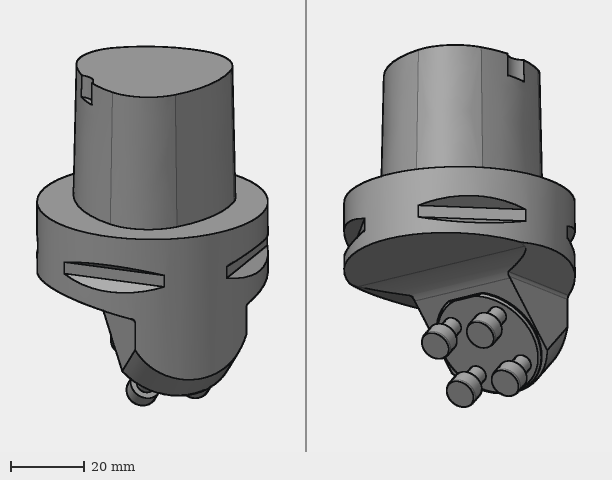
import cadquery as cq
import math

flange_radius = 31.5
body_depth = 54.95

shank_height = 37.9
lobe_reach = 23.35
flank_reach = 20.4
lobe_radius = 14.65
shank_taper = 0.8
notch_radius = 4.9
notch_center_y = -22.9
notch_depth = 6.2

rim_depth = 18.5
underside_tilt = 4.4
seat_offset = 23.35
seat_fillet = 14.65
end_offset = 72.7
arm_half_width = 16.5
arm_top_depth = 23.4
gable_rim_depth = 19.6
gable_fillet = 0.9
arm_corner_radius = 18.8
corner_cut_depth = 13.7

pattern_along = 35.35
disc_radius = 15.8
disc_thickness = 1.1
disc_chamfer = 0.6
disc_flat = 14.7
screw_pitch = 15.6
shank_diameter = 5.0
head_diameter = 8.5
head_length = 4.85
head_chamfer_width = 0.2
head_chamfer_height = 0.6
screw_reach = 12.2

slot_floor_distance = 27.8
slot_mid_depth = 12.1
slot_floor_width = 3.3
slot_mouth_width = 7.7

ROOT2 = math.sqrt(2)
seat = cq.Plane(
    origin=(pattern_along / ROOT2 - seat_offset / 2, 0, -pattern_along / ROOT2 - seat_offset / 2),
    xDir=(1, 0, -1),
    normal=(-1, 0, -1),
)


def polar(radius, degrees):
    angle = math.radians(degrees)
    return (radius * math.cos(angle), radius * math.sin(angle))


def shank_outline(offset, height):
    """Closed outline of three lobe arcs joined by tangent flank arcs."""
    lobe_center = lobe_reach - lobe_radius
    gap = flank_reach - lobe_center / 2
    flank_radius = (lobe_radius**2 - 0.75 * lobe_center**2 - gap**2) / (2 * (lobe_radius - gap))
    flank_center = flank_radius - flank_reach
    half_flank = math.degrees(math.asin(lobe_center * math.sin(math.pi / 3) / (flank_radius - lobe_radius)))
    arc_radius = flank_radius - offset

    def seam(flank_angle, side):
        center = polar(flank_center, flank_angle + 180)
        rim = polar(arc_radius, flank_angle + side * half_flank)
        return (center[0] + rim[0], center[1] + rim[1])

    outline = cq.Workplane("XY", origin=(0, 0, height)).moveTo(*seam(-90, -1))
    for flank_angle in (-90, 30, 150):
        outline = outline.threePointArc(polar(flank_reach - offset, flank_angle), seam(flank_angle, 1))
        crest = polar(lobe_reach - offset, flank_angle + 60)
        outline = outline.threePointArc(crest, seam(flank_angle + 120, -1))
    return outline.close().val()


def make_shank():
    base = shank_outline(0, 0)
    top = shank_outline(shank_taper, shank_height)
    shank = cq.Workplane(cq.Solid.makeLoft([base, top], True))
    notch = (
        cq.Workplane("XY", origin=(0, notch_center_y, shank_height))
        .circle(notch_radius)
        .extrude(-notch_depth)
    )
    return shank.cut(notch)


def make_body():
    """Flange and arm: a cylinder trimmed by a side profile and a gable profile."""
    slope = math.tan(math.radians(underside_tilt))
    corner_x = (rim_depth + slope * flange_radius - seat_offset) / (1 - slope)
    corner = (corner_x, -seat_offset - corner_x)
    tip_x = (end_offset - seat_offset) / 2
    side_profile = (
        cq.Workplane("XZ")
        .polyline([
            (-flange_radius, 0),
            (-flange_radius, -rim_depth),
            corner,
            (tip_x, -seat_offset - tip_x),
            (flange_radius, flange_radius - end_offset),
            (flange_radius, 0),
        ])
        .close()
        .extrude(flange_radius, both=True)
        .edges(cq.NearestToPointSelector((corner[0], 0, corner[1])))
        .fillet(seat_fillet)
    )
    gable = (
        cq.Workplane("YZ")
        .polyline([
            (-flange_radius, 0),
            (-flange_radius, -gable_rim_depth),
            (-arm_half_width, -arm_top_depth),
            (-arm_half_width, -body_depth),
            (arm_half_width, -body_depth),
            (arm_half_width, -arm_top_depth),
            (flange_radius, -gable_rim_depth),
            (flange_radius, 0),
        ])
        .close()
        .extrude(flange_radius, both=True)
    )
    for y in (-arm_half_width, arm_half_width):
        gable = gable.edges(cq.NearestToPointSelector((0, y, -arm_top_depth))).fillet(gable_fillet)
    cylinder = cq.Workplane("XY").circle(flange_radius).extrude(-body_depth)
    return cylinder.intersect(side_profile).intersect(gable)


def make_corner_cutter():
    """Material outside the rounded lower end of the arm, square to the seat."""
    length = 2 * arm_corner_radius
    arc_center = end_offset / ROOT2 - pattern_along - arm_corner_radius
    sketch = cq.Workplane(seat).center(arc_center, 0)
    rounding = sketch.circle(arm_corner_radius).extrude(-corner_cut_depth)
    block = sketch.center(length / 2, 0).rect(length, 2 * length).extrude(-corner_cut_depth)
    return block.cut(rounding)


def make_disc():
    disc = (
        cq.Workplane(seat)
        .circle(disc_radius)
        .extrude(disc_thickness)
        .faces(cq.DirectionMinMaxSelector(seat.zDir, True))
        .chamfer(disc_chamfer)
    )
    keep = (
        cq.Workplane(seat)
        .center(disc_radius - disc_flat, 0)
        .rect(2 * disc_radius, 2 * disc_radius)
        .extrude(disc_thickness)
    )
    return disc.intersect(keep)


def make_screws():
    screw_positions = cq.Workplane(seat).rect(screw_pitch, screw_pitch, forConstruction=True).vertices()
    shanks = screw_positions.circle(shank_diameter / 2).extrude(screw_reach)
    heads = (
        cq.Workplane(seat)
        .workplane(offset=screw_reach - head_length)
        .rect(screw_pitch, screw_pitch, forConstruction=True)
        .vertices()
        .circle(head_diameter / 2)
        .extrude(head_length)
        .faces(cq.DirectionMinMaxSelector(seat.zDir, True))
        .edges()
        .chamfer(head_chamfer_height, head_chamfer_width)
    )
    return shanks.union(heads)


def make_slot(angle):
    """Flat-bottomed slot with flared walls, cut across the rim at the given angle."""
    depth = flange_radius - slot_floor_distance
    slot = (
        cq.Workplane("XZ")
        .polyline([
            (slot_floor_distance, -slot_mid_depth - slot_floor_width / 2),
            (slot_floor_distance + depth, -slot_mid_depth - slot_mouth_width / 2),
            (slot_floor_distance + depth, -slot_mid_depth + slot_mouth_width / 2),
            (slot_floor_distance, -slot_mid_depth + slot_floor_width / 2),
        ])
        .close()
        .extrude(flange_radius, both=True)
    )
    return slot.rotate((0, 0, 0), (0, 0, 1), angle)


body = make_body().cut(make_corner_cutter())
for slot_angle in (45, 135, 225, 315):
    body = body.cut(make_slot(slot_angle))

result = body.union(make_shank()).union(make_disc()).union(make_screws())